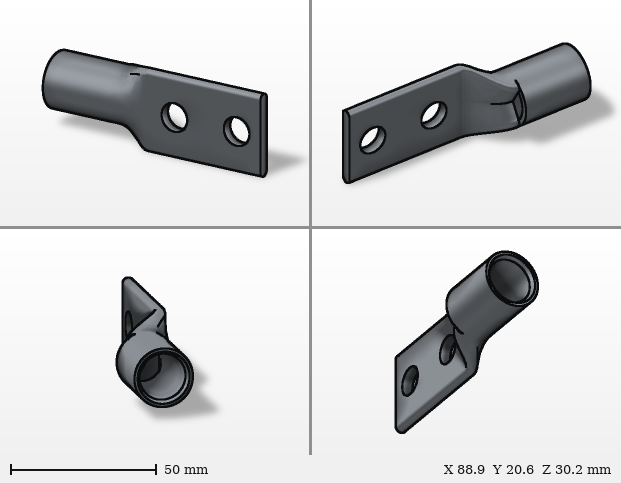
import cadquery as cq
import math

total_length = 88.9
barrel_length = 26.85
barrel_radius = 10.3
bore_radius = 8.1
mouth_radius = 9.2
mouth_depth = 1.8

pad_start = 42.3
pad_width = 30.2
pad_thickness = 4.1
pad_bottom = -barrel_radius
pad_edge_radius = pad_thickness / 2
pad_mid = pad_bottom + pad_edge_radius
pad_flat_half = pad_width / 2 - pad_edge_radius

hole_diameter = 10.4
first_hole_x = 53.8
hole_pitch = 25.4

crease_slope = 1.7
outer_apex_y = 2.2
inner_apex_y = -0.3
lower_seam_y = -4.1
upper_seam_y = 3.7
ridge_y = 6.2
ridge_z = 7.65
arm_end_y = 5.5

transition_steps = 5
blend_power = 1.2
slit_thickness = 0.1


def on_circle(radius, y):
    return (y, math.sqrt(radius**2 - y**2))


def blend(fraction):
    """S-shaped ramp from 0 to 1."""
    s = fraction**blend_power
    return s * s * (3 - 2 * s)


def blend_points(start, end, fraction):
    """Outline points at a fraction of the way along the transition."""
    weight = blend(fraction)
    return [
        tuple(a + (b - a) * weight for a, b in zip(first, last))
        for first, last in zip(start, end)
    ]


def mirrored(point):
    return (point[0], -point[1])


diagonal = pad_edge_radius * math.sqrt(0.5)
outer_start = [
    (-barrel_radius, 0),
    on_circle(barrel_radius, lower_seam_y),
    on_circle(barrel_radius, (lower_seam_y + upper_seam_y) / 2),
    on_circle(barrel_radius, upper_seam_y),
    (ridge_y, ridge_z),
    (arm_end_y, crease_slope * (arm_end_y - outer_apex_y)),
    (outer_apex_y, 0),
]
outer_end = [
    (pad_bottom, 0),
    (pad_bottom, pad_flat_half),
    (pad_mid - diagonal, pad_flat_half + diagonal),
    (pad_mid, pad_width / 2),
    (pad_mid + diagonal, pad_flat_half + diagonal),
    (pad_bottom + pad_thickness, pad_flat_half),
    (pad_bottom + pad_thickness, 0),
]


def arc_or_line(sketch, middle, end):
    """Arc from the current point, or a line when the stretch has flattened out."""
    if abs(middle[0] - end[0]) < 8.89e-07:
        return sketch.lineTo(*end)
    return sketch.threePointArc(middle, end)


def outer_section(sketch, fraction):
    bottom, low, side, high, ridge, arm, apex = blend_points(
        outer_start, outer_end, fraction
    )
    sketch = sketch.moveTo(*mirrored(low))
    sketch = arc_or_line(sketch, bottom, low)
    return (
        sketch.threePointArc(side, high)
        .threePointArc(ridge, arm)
        .lineTo(*apex)
        .lineTo(*mirrored(arm))
        .threePointArc(mirrored(ridge), mirrored(high))
        .threePointArc(mirrored(side), mirrored(low))
        .close()
    )


arm_a = 1 + crease_slope**2
arm_b = -2 * crease_slope**2 * inner_apex_y
arm_c = (crease_slope * inner_apex_y)**2 - bore_radius**2
inner_arm_y = (-arm_b + math.sqrt(arm_b**2 - 4 * arm_a * arm_c)) / (2 * arm_a)

inner_start = [
    (-bore_radius, 0),
    on_circle(bore_radius, inner_arm_y),
    (inner_apex_y, 0),
]
inner_end = [
    (pad_mid - slit_thickness / 2, 0),
    (pad_mid, pad_flat_half),
    (pad_mid + slit_thickness / 2, 0),
]


def inner_section(sketch, fraction):
    bottom, arm, apex = blend_points(inner_start, inner_end, fraction)
    return (
        sketch.moveTo(*mirrored(arm))
        .threePointArc(bottom, arm)
        .lineTo(*apex)
        .close()
    )


def loft_transition(section):
    sketch = cq.Workplane("YZ", origin=(barrel_length, 0, 0))
    step_length = (pad_start - barrel_length) / transition_steps
    for step in range(transition_steps + 1):
        if step:
            sketch = sketch.workplane(offset=step_length)
        sketch = section(sketch, step / transition_steps)
    return sketch.loft(combine=True)


def make_barrel():
    barrel = cq.Workplane("YZ").circle(barrel_radius).circle(bore_radius).extrude(barrel_length)
    mouth = cq.Workplane(
        cq.Solid.makeCone(
            mouth_radius, bore_radius, mouth_depth, cq.Vector(0, 0, 0), cq.Vector(1, 0, 0)
        )
    )
    return barrel.cut(mouth)


def make_pad():
    pad = outer_section(cq.Workplane("YZ", origin=(pad_start, 0, 0)), 1)
    pad = pad.extrude(total_length - pad_start)
    holes = (
        cq.Workplane("XZ", origin=(0, barrel_radius, 0))
        .pushPoints([(first_hole_x, 0), (first_hole_x + hole_pitch, 0)])
        .circle(hole_diameter / 2)
        .extrude(2 * barrel_radius)
    )
    return pad.cut(holes)


transition = loft_transition(outer_section).cut(loft_transition(inner_section))
result = make_barrel().union(transition).union(make_pad())